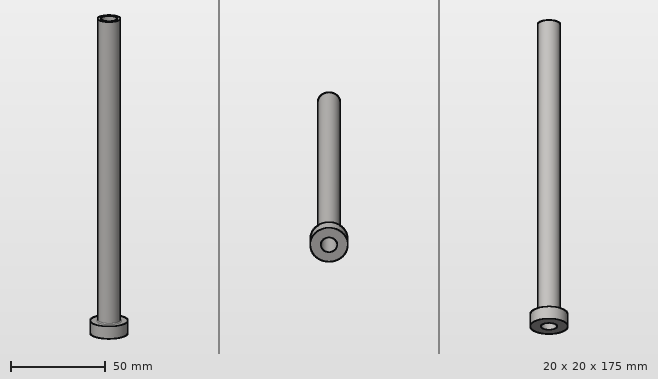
import cadquery as cq

total_length = 175.0
head_diameter = 20.0
head_height = 7.0
tube_diameter = 12.0
bore_diameter = 8.5
neck_fillet = 0.5

head = cq.Workplane("XY").circle(head_diameter / 2).extrude(head_height)

tube = cq.Workplane("XY").circle(tube_diameter / 2).extrude(total_length)
body = head.union(tube)

neck_edge = cq.selectors.RadiusNthSelector(0)
body = body.faces(cq.selectors.NearestToPointSelector((0, 0, head_height))).edges(neck_edge).fillet(neck_fillet)

bore = cq.Workplane("XY").circle(bore_diameter / 2).extrude(total_length)
result = body.cut(bore)